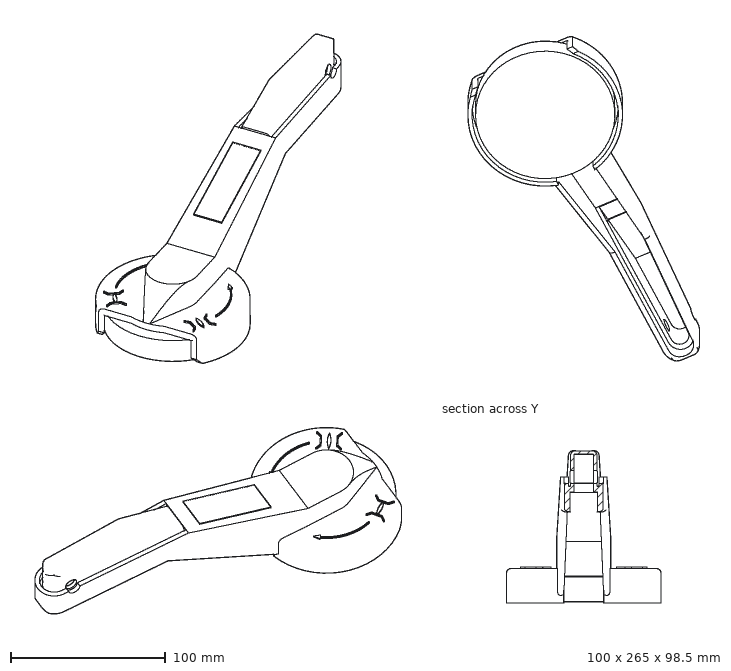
import cadquery as cq
import math

cap_radius = 50.0
cap_height = 22.5
cap_plate = 5.0
cap_bore_radius = 47.2
cap_edge_round = 3.3
cap_flat_y = -35.0
cap_nose_radius = 37.0
rim_chamfer_depth = 3.0
rim_chamfer_height = 4.0
plate_underside = cap_height - cap_plate

insert_radius = 45.0
insert_bottom = 0.8
insert_top = 17.0
spindle_radius = 20.0

hub_radius = 17.5
hub_top = 42.5
hub_taper_angle = 24.6
slope_start_y = 25.0
slope_end_y = 114.5
grip_top = 81.5
grip_bottom = 59.0
grip_bend_y = 130.0
tip_y = 220.0
tip_radius = 12.5
tip_centre_y = tip_y - tip_radius
tip_bottom_round = 8.0
handle_edge_round = 2.5
underside_slope = 0.657
top_slope = (grip_top - hub_top) / (slope_end_y - slope_start_y)
handle_wall = 4.0

tongue_top = 98.5
tongue_inset = 4.0
tongue_tip_radius = tip_radius - tongue_inset
tongue_tip_y = 214.8
tongue_tip_centre_y = tongue_tip_y - tongue_tip_radius
tongue_tip_round = 4.5
tongue_wall = 2.5
tongue_bend_y = 152.0
tongue_end_gap = 0.6
tongue_edge_round = 3.3
tongue_bend_round = 10.0
slot_inset = 3.0
slot_depth = 6.0
cavity_roof = grip_top - slot_depth - handle_wall
pin_diameter = 8.2
pin_y = 200.0

badge_width = 20.5
badge_start_y = 48.5
badge_end_y = 103.0
badge_height = 0.8
mark_height = 1.0
mark_width = 0.8
mark_radius = 37.7
arrow_start = -15.0
arrow_end = 38.0
arrow_tip = 45.0
arrow_head_width = 3.0
symbol_angle = -34.7
pipe_half_gap = 5.4
pipe_half_length = 3.5
pipe_flare = 2.6
gate_half_length = 5.8
gate_half_width = 1.2

WIDE = 400.0


def cylinder(radius, z_low, z_high):
    return cq.Workplane("XY").workplane(offset=z_low).circle(radius).extrude(z_high - z_low)


def side_extrusion(points):
    """Extrude a closed (Y, Z) outline symmetrically about X = 0."""
    return cq.Workplane("YZ").polyline(points).close().extrude(WIDE / 2, both=True)


def slope_z(y):
    """Height of the sloping top face at a given Y."""
    return hub_top + top_slope * (y - slope_start_y)


def slope_y(z):
    return slope_start_y + (z - hub_top) / top_slope


def grip_half_width(y):
    """Half width of the tapered handle, measured along its straight flanks."""
    taper = (hub_radius - tip_radius) / (tip_centre_y - slope_start_y)
    return hub_radius - taper * (y - slope_start_y)


def grip_plan(inset, start_y, end_radius, end_centre_y, z_low, z_high):
    """Tapered bar with a round end, inset from the sides of the handle."""
    half_width = hub_radius - inset
    reach = end_centre_y - slope_start_y
    distance = math.hypot(half_width, reach)
    tilt = math.atan2(half_width, reach) - math.asin(end_radius / distance)
    tangent_x = end_radius * math.cos(tilt)
    tangent_y = end_centre_y + end_radius * math.sin(tilt)
    start_x = half_width - (start_y - slope_start_y) * math.tan(tilt)
    return (
        cq.Workplane("XY").workplane(offset=z_low)
        .moveTo(start_x, start_y)
        .lineTo(tangent_x, tangent_y)
        .threePointArc((0, end_centre_y + end_radius), (-tangent_x, tangent_y))
        .lineTo(-start_x, start_y)
        .close()
        .extrude(z_high - z_low)
    )


def make_cap():
    cap = cylinder(cap_radius, 0, cap_height).faces(">Z").edges().fillet(cap_edge_round)
    front = cq.Workplane("XY").box(WIDE, WIDE, WIDE).translate((0, cap_flat_y - WIDE / 2, 0))
    cap = cap.cut(front)
    cap = cap.union(cylinder(cap_nose_radius, plate_underside, cap_height))
    rim_corner = side_extrusion([
        (cap_flat_y, 0),
        (cap_flat_y + rim_chamfer_depth, 0),
        (cap_flat_y, rim_chamfer_height),
    ])
    return cap.cut(rim_corner)


def make_hub():
    """Block over the cap whose pointed front is bevelled by a cone."""
    angle = math.radians(hub_taper_angle)
    flank_x = hub_radius * math.cos(angle)
    flank_y = -hub_radius * math.sin(angle)
    nose_x = flank_x - (flank_y + cap_nose_radius) * math.tan(angle)
    arc_mid = (hub_radius * math.cos(angle / 2), -hub_radius * math.sin(angle / 2))
    block = (
        cq.Workplane("XY").workplane(offset=plate_underside)
        .moveTo(hub_radius, slope_start_y)
        .lineTo(hub_radius, 0)
        .threePointArc(arc_mid, (flank_x, flank_y))
        .lineTo(nose_x, -cap_nose_radius)
        .lineTo(-nose_x, -cap_nose_radius)
        .lineTo(-flank_x, flank_y)
        .threePointArc((-arc_mid[0], arc_mid[1]), (-hub_radius, 0))
        .lineTo(-hub_radius, slope_start_y)
        .close()
        .extrude(hub_top - plate_underside)
    )
    cone = (
        cq.Workplane("XZ")
        .moveTo(0, plate_underside)
        .lineTo(cap_nose_radius, plate_underside)
        .lineTo(cap_nose_radius, cap_height)
        .lineTo(hub_radius, hub_top)
        .lineTo(0, hub_top)
        .close()
        .revolve(360, (0, 0), (0, 1))
    )
    bevel_limit = cone.union(
        cq.Workplane("XY")
        .box(2 * hub_radius, slope_start_y, hub_top, centered=(True, False, False))
    )
    return block.intersect(bevel_limit)


def make_arm():
    """Sloping arm and grip, solid, with rounded lower edges."""
    foot_z = grip_bottom - underside_slope * (grip_bend_y - slope_start_y)
    profile = [
        (slope_start_y, foot_z),
        (grip_bend_y, grip_bottom),
        (tip_y, grip_bottom),
        (tip_y, grip_top),
        (slope_end_y, grip_top),
        (slope_start_y, hub_top),
    ]
    plan = grip_plan(0, slope_start_y, tip_radius, tip_centre_y, foot_z, grip_top)
    arm = plan.intersect(side_extrusion(profile))
    slope_middle = (0, (slope_start_y + grip_bend_y) / 2, (foot_z + grip_bottom) / 2)
    slope_edges = arm.faces(cq.NearestToPointSelector(slope_middle)).edges("not |X")
    grip_edges = arm.faces("-Z").edges("not |X")
    arm = slope_edges.add(grip_edges).fillet(handle_edge_round)
    tip_limit = (
        cq.Workplane("YZ")
        .moveTo(slope_start_y, foot_z)
        .lineTo(tip_y - tip_bottom_round, foot_z)
        .lineTo(tip_y - tip_bottom_round, grip_bottom)
        .radiusArc((tip_y, grip_bottom + tip_bottom_round), -tip_bottom_round)
        .lineTo(tip_y, grip_top)
        .lineTo(slope_start_y, grip_top)
        .close()
        .extrude(WIDE / 2, both=True)
    )
    return arm.intersect(tip_limit)


def make_arm_cavity():
    """Hollow of the arm, open below, leaving an even wall under the top faces."""
    roof_drop = handle_wall * math.hypot(1.0, top_slope)
    start_y = slope_start_y + handle_wall
    profile = [
        (start_y, 0),
        (tip_y, 0),
        (tip_y, cavity_roof),
        (slope_y(cavity_roof + roof_drop), cavity_roof),
        (start_y, slope_z(start_y) - roof_drop),
    ]
    cavity_radius = tip_radius - handle_wall
    plan = grip_plan(handle_wall, start_y, cavity_radius, tip_centre_y, 0, grip_top)
    return plan.intersect(side_extrusion(profile))


def make_slot():
    """Groove in the grip top around the tongue."""
    slot_radius = tip_radius - slot_inset
    floor = grip_top - slot_depth
    return grip_plan(slot_inset, slope_end_y, slot_radius, tip_centre_y, floor, grip_top)


def make_tongue():
    """Tapered tongue whose sloping end runs parallel to the top of the arm."""
    start_y = slope_end_y + tongue_end_gap
    floor = grip_top - slot_depth
    start_z = tongue_top - top_slope * (tongue_bend_y - start_y)
    profile = [
        (start_y, floor),
        (tip_y, floor),
        (tip_y, tongue_top),
        (tongue_bend_y, tongue_top),
        (start_y, start_z),
    ]
    half_start = grip_half_width(start_y) - tongue_inset
    half_end = grip_half_width(tip_y) - tongue_inset
    bar_plan = (
        cq.Workplane("XY").workplane(offset=floor)
        .polyline([
            (half_start, start_y), (half_end, tip_y),
            (-half_end, tip_y), (-half_start, start_y),
        ])
        .close()
        .extrude(tongue_top - floor)
    )
    tongue = bar_plan.intersect(side_extrusion(profile))
    bend = cq.NearestToPointSelector((0, tongue_bend_y, tongue_top))
    tongue = tongue.edges(bend).fillet(tongue_bend_round)
    tongue = tongue.faces("+Z").edges("not |X").fillet(tongue_edge_round)

    round_plan = grip_plan(
        tongue_inset, start_y, tongue_tip_radius, tongue_tip_centre_y, floor, tongue_top
    )
    tip_limit = (
        cq.Workplane("YZ")
        .moveTo(start_y, floor)
        .lineTo(tongue_tip_y, floor)
        .lineTo(tongue_tip_y, tongue_top - tongue_tip_round)
        .radiusArc((tongue_tip_y - tongue_tip_round, tongue_top), -tongue_tip_round)
        .lineTo(start_y, tongue_top)
        .close()
        .extrude(WIDE / 2, both=True)
    )
    return tongue.intersect(round_plan).intersect(tip_limit)


def make_tongue_cavity():
    """Hollow of the tongue, open into the hollow of the arm."""
    inset = tongue_inset + tongue_wall
    bottom = cavity_roof - handle_wall
    roof_z = tongue_top - tongue_wall
    drop = tongue_wall * (1.0 + math.hypot(1.0, top_slope))
    start_y = tongue_bend_y - (tongue_top - drop - cavity_roof) / top_slope
    profile = [
        (start_y, bottom),
        (tip_y, bottom),
        (tip_y, roof_z),
        (tongue_bend_y + tongue_wall, roof_z),
        (start_y, cavity_roof),
    ]
    radius = tongue_tip_radius - tongue_wall
    plan = grip_plan(inset, start_y, radius, tongue_tip_centre_y, bottom, roof_z)
    return plan.intersect(side_extrusion(profile))


def make_badge():
    """Raised rectangular plate on the sloping face."""
    lift = badge_height * math.hypot(1.0, top_slope)
    start_z = slope_z(badge_start_y)
    end_z = slope_z(badge_end_y)
    outline = [
        (badge_start_y, start_z - lift),
        (badge_end_y, end_z - lift),
        (badge_end_y, end_z + lift),
        (badge_start_y, start_z + lift),
    ]
    return cq.Workplane("YZ").polyline(outline).close().extrude(badge_width / 2, both=True)


def polar(radius, degrees):
    angle = math.radians(degrees)
    return (radius * math.cos(angle), radius * math.sin(angle))


def make_arrow():
    """Curved arrow on the +X half of the cap, pointing towards the handle."""
    inner = mark_radius - mark_width / 2
    outer = mark_radius + mark_width / 2
    middle = (arrow_start + arrow_end) / 2
    shaft = (
        cq.Workplane("XY").workplane(offset=cap_height)
        .moveTo(*polar(inner, arrow_start))
        .threePointArc(polar(inner, middle), polar(inner, arrow_end))
        .lineTo(*polar(outer, arrow_end))
        .threePointArc(polar(outer, middle), polar(outer, arrow_start))
        .close()
        .extrude(mark_height)
    )
    head = (
        cq.Workplane("XY").workplane(offset=cap_height)
        .polyline([
            polar(mark_radius - arrow_head_width / 2, arrow_end),
            polar(mark_radius + arrow_head_width / 2, arrow_end),
            polar(mark_radius, arrow_tip),
        ])
        .close()
        .extrude(mark_height)
    )
    return shaft.union(head)


def make_valve_symbol(gate_angle):
    """Two flared pipe walls with a lens-shaped gate between, on the +X half of the cap."""
    flare_end = pipe_half_length + pipe_flare
    wall = (
        cq.Workplane("XY")
        .moveTo(-flare_end, pipe_half_gap + pipe_flare)
        .lineTo(-pipe_half_length, pipe_half_gap)
        .lineTo(pipe_half_length, pipe_half_gap)
        .lineTo(flare_end, pipe_half_gap + pipe_flare)
        .offset2D(mark_width / 2)
        .extrude(mark_height)
    )
    gate = (
        cq.Workplane("XY")
        .moveTo(-gate_half_length, 0)
        .threePointArc((0, gate_half_width), (gate_half_length, 0))
        .threePointArc((0, -gate_half_width), (-gate_half_length, 0))
        .close()
        .extrude(mark_height)
        .rotate((0, 0, 0), (0, 0, 1), gate_angle)
    )
    symbol = wall.union(wall.mirror("XZ")).union(gate)
    centre_x, centre_y = polar(mark_radius, symbol_angle)
    symbol = symbol.rotate((0, 0, 0), (0, 0, 1), symbol_angle)
    return symbol.translate((centre_x, centre_y, cap_height))


def add_marks(body):
    """Arrows on both sides; the gate lies along the pipe at +X and across it at -X."""
    arrow = make_arrow()
    body = body.union(arrow).union(arrow.mirror("YZ"))
    body = body.union(make_valve_symbol(gate_angle=0))
    return body.union(make_valve_symbol(gate_angle=90).mirror("YZ"))


bore = cylinder(cap_bore_radius, -WIDE, plate_underside)
pin_hole = (
    cq.Workplane("YZ").center(pin_y, grip_top)
    .circle(pin_diameter / 2).extrude(WIDE / 2, both=True)
)

handle = make_cap().union(make_hub()).union(make_arm())
handle = handle.cut(bore).cut(make_arm_cavity()).cut(make_slot())
handle = handle.union(make_tongue()).union(make_badge()).cut(make_tongue_cavity()).cut(pin_hole)
handle = add_marks(handle)

insert = cylinder(insert_radius, insert_bottom, insert_top)
spindle = cylinder(spindle_radius, insert_top, plate_underside)

result = handle.union(insert).union(spindle)